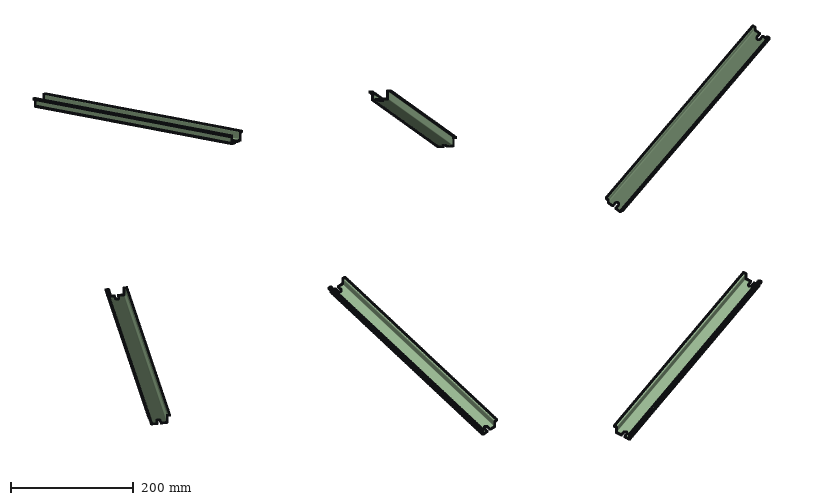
import cadquery as cq

length = 382.0
overall_width = 35.0
height = 15.0
thickness = 1.5
channel_width = 27.0
inner_bend_radius = 0.5
outer_bend_radius = inner_bend_radius + thickness

notch_width = 6.2
notch_depth = 10.0


def make_rail():
    """Extrude the hat section along X and round its bends."""
    half_width = overall_width / 2
    half_outer = channel_width / 2
    half_inner = half_outer - thickness
    bottom = -height / 2
    top = height / 2
    floor = bottom + thickness
    flange_underside = top - thickness

    right_half = [
        (half_outer, bottom),
        (half_outer, flange_underside),
        (half_width, flange_underside),
        (half_width, top),
        (half_inner, top),
        (half_inner, floor),
    ]
    left_half = [(-y, z) for y, z in reversed(right_half)]
    rail = (
        cq.Workplane("YZ")
        .polyline(right_half + left_half)
        .close()
        .extrude(length / 2, both=True)
    )

    inside_bends = [(half_outer, flange_underside), (half_inner, floor)]
    outside_bends = [(half_outer, bottom), (half_inner, top)]
    rail = round_bends(rail, inside_bends, inner_bend_radius)
    return round_bends(rail, outside_bends, outer_bend_radius)


def round_bends(rail, bends, radius):
    """Fillet the lengthwise edges at the given (y, z) places on both sides."""
    for y, z in bends:
        for side in (-1, 1):
            edge = cq.selectors.NearestToPointSelector((0, side * y, z))
            rail = rail.edges(edge).fillet(radius)
    return rail


def make_notch(end):
    """Cutter for the round-ended notch at one end of the rail (-1 or 1)."""
    return (
        cq.Workplane("XY")
        .center(end * length / 2, 0)
        .slot2D(2 * notch_depth, notch_width)
        .extrude(height, both=True)
    )


result = make_rail()
for end in (-1, 1):
    result = result.cut(make_notch(end))